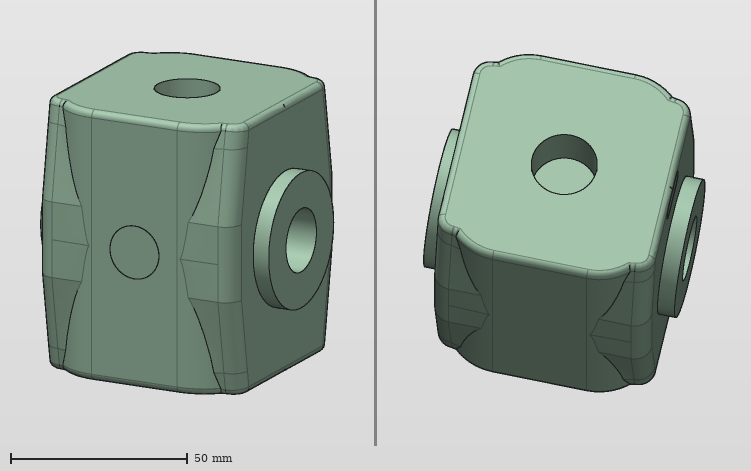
import cadquery as cq
import math

height = 80.0
half_height = height / 2
edge_round = 2.0

core_half_depth = 32.5
core_flat_half_width = 13.7
core_corner_radius = 17.0
core_half_width = core_flat_half_width + core_corner_radius
core_arc_center_y = core_half_depth - core_corner_radius

shell_half_width = 31.5
shell_corner_radius = 5.0
shell_edge_x = shell_half_width - shell_corner_radius
shell_mid_half_depth = 32.2
shell_half_depths = [
    (0.0, shell_mid_half_depth),
    (11.2, shell_mid_half_depth),
    (33.2, 28.5),
    (half_height, 27.3),
]
seam_half_width_at_end = 25.8

port_diameter = 18.7
port_depth = 16.0
flange_diameter = 40.0
flange_half_span = 36.5

mark_depth = 0.1
disc_diameter = 15.7
label_width = 14.2
label_height = 6.2
label_corner_radius = 2.4
label_z = 34.1


def core_surface_y(x):
    """Y of the rounded core corner at a given x."""
    return core_arc_center_y + math.sqrt(core_corner_radius ** 2 - (x - core_flat_half_width) ** 2)


def shell_section(z, edge_y):
    """Horizontal outline of the shell at height z, with its corner edges at +-edge_y."""
    seam_spread = seam_half_width_at_end - core_flat_half_width
    seam_x = core_flat_half_width + seam_spread * abs(z) / half_height
    seam_y = core_surface_y(seam_x)
    side_y = edge_y - shell_corner_radius
    arc_reach = shell_corner_radius * math.sqrt(0.5)
    arc_x = shell_edge_x + arc_reach
    arc_y = side_y + arc_reach
    outline = (
        cq.Workplane("XY", origin=(0, 0, z))
        .moveTo(shell_half_width, -side_y)
        .lineTo(shell_half_width, side_y)
        .threePointArc((arc_x, arc_y), (shell_edge_x, edge_y))
        .lineTo(seam_x, seam_y)
        .lineTo(-seam_x, seam_y)
        .lineTo(-shell_edge_x, edge_y)
        .threePointArc((-arc_x, arc_y), (-shell_half_width, side_y))
        .lineTo(-shell_half_width, -side_y)
        .threePointArc((-arc_x, -arc_y), (-shell_edge_x, -edge_y))
        .lineTo(-seam_x, -seam_y)
        .lineTo(seam_x, -seam_y)
        .lineTo(shell_edge_x, -edge_y)
        .threePointArc((arc_x, -arc_y), (shell_half_width, -side_y))
        .close()
    )
    return outline.val()


def make_core():
    """Prism with round upright corners and rounded rims."""
    return (
        cq.Workplane("XY")
        .box(2 * core_half_width, 2 * core_half_depth, height)
        .edges("|Z")
        .fillet(core_corner_radius)
        .faces("<Z or >Z")
        .edges()
        .fillet(edge_round)
    )


def make_shell():
    """Barrel through the stacked outlines, with rounded rims."""
    upper = [shell_section(level, depth) for level, depth in shell_half_depths]
    lower = [shell_section(-level, depth) for level, depth in reversed(shell_half_depths[1:])]
    barrel = cq.Solid.makeLoft(lower + upper, True)
    return cq.Workplane(barrel).faces("<Z or >Z").edges().fillet(edge_round)


def make_flanges():
    """Round bar through the body whose two ends stand out as flanges."""
    return cq.Workplane("YZ").circle(flange_diameter / 2).extrude(flange_half_span, both=True)


def make_port(mouth, direction):
    """Blind round hole from the mouth centre, running inward along the direction."""
    bore = cq.Solid.makeCylinder(port_diameter / 2, port_depth, cq.Vector(*mouth), cq.Vector(*direction))
    return cq.Workplane(bore)


def make_disc_mark():
    """Round recess centred on the -Y face."""
    return (
        cq.Workplane("XZ", origin=(0, -core_half_depth, 0))
        .circle(disc_diameter / 2)
        .extrude(-mark_depth)
    )


def make_label_mark():
    """Rounded rectangular recess high on the -X face."""
    return (
        cq.Workplane("YZ", origin=(-shell_half_width, 0, label_z))
        .rect(label_width, label_height)
        .extrude(mark_depth)
        .edges("|X")
        .fillet(label_corner_radius)
    )


result = make_core().union(make_shell()).union(make_flanges())
result = result.cut(make_port((-flange_half_span, 0, 0), (1, 0, 0)))
result = result.cut(make_port((flange_half_span, 0, 0), (-1, 0, 0)))
result = result.cut(make_port((0, 0, half_height), (0, 0, -1)))
result = result.cut(make_disc_mark()).cut(make_label_mark())